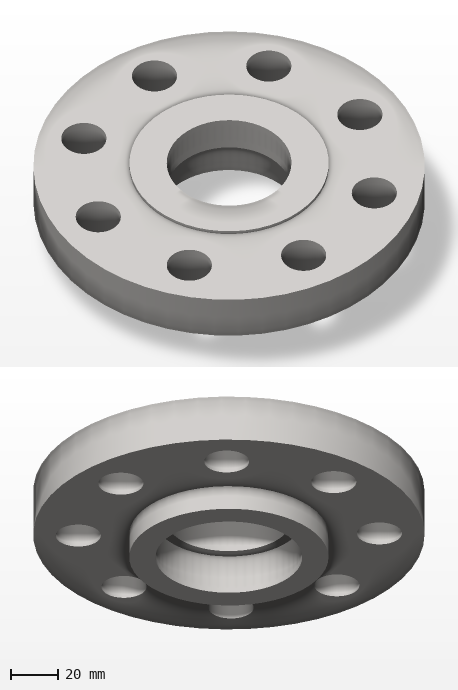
import cadquery as cq

flange_diameter = 165.1
total_height = 33.27
raised_face_height = 1.6
plate_thickness = 20.75
hub_height = total_height - plate_thickness - raised_face_height

hub_diameter = 84.1
raised_face_diameter = 84.1

bore_diameter = 52.6
socket_diameter = 61.9
socket_depth = 17.5

bolt_hole_count = 8
bolt_hole_diameter = 19.05
bolt_circle_diameter = 127.0
bolt_hole_pitch = 360 / bolt_hole_count
first_bolt_hole_angle = bolt_hole_pitch / 2

plate_bottom = hub_height
plate_top = plate_bottom + plate_thickness


def cylinder(diameter, bottom, height):
    """Upright cylinder on the Z axis, starting at the given height."""
    return cq.Workplane("XY").workplane(offset=bottom).circle(diameter / 2).extrude(height)


def flange_body():
    """Hub, plate and raised face stacked on one axis."""
    hub = cylinder(hub_diameter, 0, hub_height)
    plate = cylinder(flange_diameter, plate_bottom, plate_thickness)
    raised_face = cylinder(raised_face_diameter, plate_top, raised_face_height)
    return hub.union(plate).union(raised_face)


def bore_and_socket():
    """Space removed for the through bore and the pipe socket."""
    bore = cylinder(bore_diameter, 0, total_height)
    socket = cylinder(socket_diameter, 0, socket_depth)
    return bore.union(socket)


def bolt_holes():
    """Evenly spaced cylinders that pass through the plate."""
    return (
        cq.Workplane("XY")
        .workplane(offset=plate_bottom)
        .polarArray(bolt_circle_diameter / 2, first_bolt_hole_angle, 360, bolt_hole_count)
        .circle(bolt_hole_diameter / 2)
        .extrude(plate_thickness)
    )


result = flange_body().cut(bore_and_socket()).cut(bolt_holes())